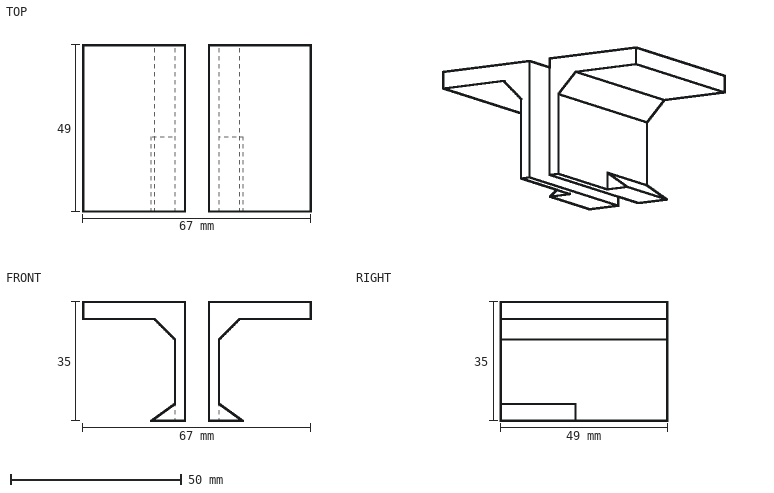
import cadquery as cq

total_width = 67.0
length = 49.0
height = 35.0

gap = 7.0
flange_thickness = 5.0
web_thickness = 3.0
gusset_leg = 6.0

foot_overhang = 7.0
foot_height = 5.0
foot_length = 22.0

web_back = gap / 2
web_face = web_back + web_thickness
flange_tip = total_width / 2
flange_underside = height - flange_thickness
front_end = -length / 2


def extrude_from_front(outline, depth):
    """Extrude a closed XZ outline from the -Y end toward +Y."""
    plane = cq.Workplane("XZ", origin=(0, front_end, 0))
    return plane.polyline(outline).close().extrude(-depth)


def make_web_and_flange():
    """Upright web, top flange and the sloped gusset in their inner corner."""
    outline = [
        (web_back, 0),
        (web_face, 0),
        (web_face, flange_underside - gusset_leg),
        (web_face + gusset_leg, flange_underside),
        (flange_tip, flange_underside),
        (flange_tip, height),
        (web_back, height),
    ]
    return extrude_from_front(outline, length)


def make_foot():
    """Wedge along the bottom of the web, overlapping it to the web's back face."""
    outline = [
        (web_back, 0),
        (web_face + foot_overhang, 0),
        (web_face, foot_height),
        (web_back, foot_height),
    ]
    return extrude_from_front(outline, foot_length)


def make_bracket():
    """Complete bracket on the +X side of the gap."""
    return make_web_and_flange().union(make_foot())


right_bracket = make_bracket()
left_bracket = right_bracket.mirror("YZ")

result = cq.Compound.makeCompound([left_bracket.val(), right_bracket.val()])